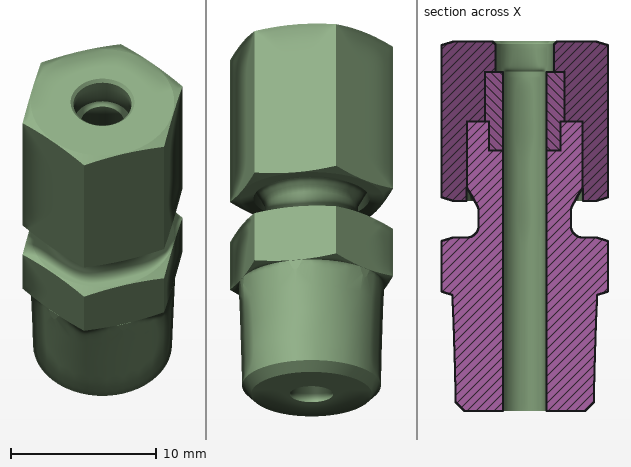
import cadquery as cq
import math

across_flats = 10.0
across_corners = across_flats / math.cos(math.radians(30))
chamfer_circle_d = 9.9
chamfer_angle = math.radians(17)

thread_length = 8.0
hex_height = 4.0
hex_top_z = thread_length + hex_height
nut_bottom_z = 14.5
nut_height = 11.0
nut_top_z = nut_bottom_z + nut_height
stem_top_z = 20.0

taper_per_radius = 1 / 32
flush_z = 7.33
end_chamfer = 0.63

stem_d = 8.0
neck_d = 6.4
neck_fillet_r = 0.8
upper_arc_start_z = 13.8
undercut_angle = math.radians(30)

passage_d = 3.0
tube_hole_d = 4.0
tube_hole_depth = 2.1
tube_hole_chamfer = 0.2

ferrule_collar_d = 5.5
ferrule_nose_d = 4.9
ferrule_nose_length = 2.0
ferrule_top_z = nut_top_z - tube_hole_depth
ferrule_bottom_z = stem_top_z - ferrule_nose_length


def cylinder(diameter, bottom_z, top_z):
    return cq.Workplane("XY").workplane(offset=bottom_z).circle(diameter / 2).extrude(top_z - bottom_z)


def hex_prism(bottom_z, top_z):
    """Hexagon with two corners on the Y axis and flats facing +X and -X."""
    prism = cq.Workplane("XY").workplane(offset=bottom_z).polygon(6, across_corners).extrude(top_z - bottom_z)
    return prism.rotate((0, 0, 0), (0, 0, 1), 30)


def chamfered_hex(bottom_z, top_z):
    """Hexagon whose corners are turned off by a shallow cone at both ends."""
    face_r = chamfer_circle_d / 2
    corner_r = across_corners / 2
    drop = (corner_r - face_r) * math.tan(chamfer_angle)
    envelope = (
        cq.Workplane("XZ")
        .moveTo(0, bottom_z)
        .lineTo(face_r, bottom_z)
        .lineTo(corner_r, bottom_z + drop)
        .lineTo(corner_r, top_z - drop)
        .lineTo(face_r, top_z)
        .lineTo(0, top_z)
        .close()
        .revolve(360, (0, 0, 0), (0, 1, 0))
    )
    return hex_prism(bottom_z, top_z).intersect(envelope)


def tapered_thread():
    """Thread cone with its upper end trimmed by the hexagon flats."""
    def cone_r(z):
        return across_flats / 2 + (z - flush_z) * taper_per_radius

    cone = (
        cq.Workplane("XZ")
        .lineTo(cone_r(end_chamfer) - end_chamfer, 0)
        .lineTo(cone_r(end_chamfer), end_chamfer)
        .lineTo(cone_r(thread_length), thread_length)
        .lineTo(0, thread_length)
        .close()
        .revolve(360, (0, 0, 0), (0, 1, 0))
    )
    return cone.intersect(hex_prism(0, thread_length))


def undercut_stem():
    """Stem above the hexagon: filleted neck, undercut cone and threaded shank."""
    neck_r = neck_d / 2
    stem_r = stem_d / 2
    arc_center_r = neck_r + neck_fillet_r

    def upper_arc_point(angle):
        return (
            arc_center_r - neck_fillet_r * math.cos(angle),
            upper_arc_start_z + neck_fillet_r * math.sin(angle),
        )

    lower_center_z = hex_top_z + neck_fillet_r
    lower_arc_middle = (
        arc_center_r - neck_fillet_r * math.cos(math.radians(45)),
        lower_center_z - neck_fillet_r * math.sin(math.radians(45)),
    )
    cone_start = upper_arc_point(undercut_angle)
    cone_top_z = cone_start[1] + (stem_r - cone_start[0]) / math.tan(undercut_angle)
    return (
        cq.Workplane("XZ")
        .moveTo(0, hex_top_z)
        .lineTo(arc_center_r, hex_top_z)
        .threePointArc(lower_arc_middle, (neck_r, lower_center_z))
        .lineTo(neck_r, upper_arc_start_z)
        .threePointArc(upper_arc_point(undercut_angle / 2), cone_start)
        .lineTo(stem_r, cone_top_z)
        .lineTo(stem_r, stem_top_z)
        .lineTo(0, stem_top_z)
        .close()
        .revolve(360, (0, 0, 0), (0, 1, 0))
    )


def make_body():
    body = chamfered_hex(thread_length, hex_top_z).union(tapered_thread()).union(undercut_stem())
    body = body.cut(cylinder(passage_d, 0, stem_top_z))
    return body.cut(cylinder(ferrule_nose_d, ferrule_bottom_z, stem_top_z))


def make_ferrule():
    collar = cylinder(ferrule_collar_d, stem_top_z, ferrule_top_z)
    nose = cylinder(ferrule_nose_d, ferrule_bottom_z, stem_top_z)
    return collar.union(nose).cut(cylinder(passage_d, ferrule_bottom_z, ferrule_top_z))


def make_nut():
    nut = chamfered_hex(nut_bottom_z, nut_top_z)
    nut = nut.cut(cylinder(stem_d, nut_bottom_z, stem_top_z))
    nut = nut.cut(cylinder(ferrule_collar_d, stem_top_z, ferrule_top_z))
    nut = nut.cut(cylinder(tube_hole_d, ferrule_top_z, nut_top_z))
    mouth_r = tube_hole_d / 2 + tube_hole_chamfer
    mouth = cq.Solid.makeCone(
        tube_hole_d / 2, mouth_r, tube_hole_chamfer, cq.Vector(0, 0, nut_top_z - tube_hole_chamfer)
    )
    return nut.cut(cq.Workplane(mouth))


body = make_body()
ferrule = make_ferrule()
nut = make_nut()

result = cq.Compound.makeCompound([body.val(), ferrule.val(), nut.val()])